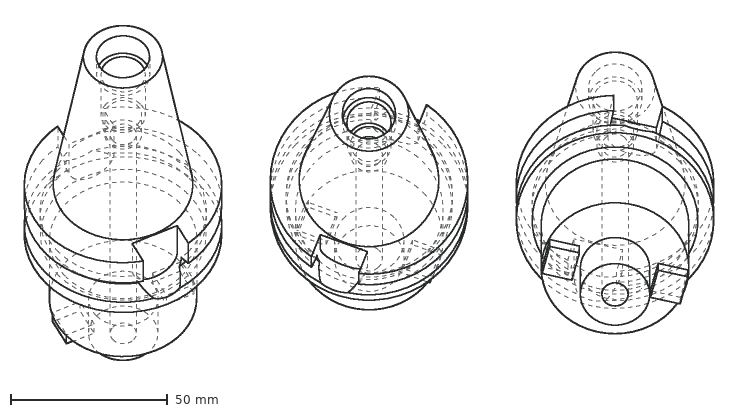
import cadquery as cq

total_height = 143.4
body_bottom = 18.0
body_top = 48.3
flange_bottom = 51.2
lower_rim_top = 56.5
groove_bottom = 59.7
groove_top = 63.7
upper_rim_bottom = 66.5
flange_top = 77.0
gauge_plane = 78.0

spigot_radius = 11.0
body_radius = 23.5
neck_radius = 26.4
flange_diameter = 63.0
flange_radius = flange_diameter / 2
groove_radius = 26.5
taper_large_radius = 22.2
taper_small_radius = 12.6

mouth_radius = 8.5
mouth_depth = 9.0
thread_radius = 7.0
thread_depth = 30.1
relief_radius = 5.9
relief_depth = 40.2
through_radius = 4.2

slot_width = 16.0
slot_floor = 22.5
slot_overrun = 1.5
slot_bottom = 55.0

key_width = 10.0
key_inner = 12.9
key_outer = 22.7
key_height = 4.7


def turned_body():
    """Taper, grooved flange, body and spigot as one revolved solid."""
    outline = [
        (0, 0),
        (spigot_radius, 0),
        (spigot_radius, body_bottom),
        (body_radius, body_bottom),
        (body_radius, body_top),
        (neck_radius, flange_bottom),
        (flange_radius, flange_bottom),
        (flange_radius, lower_rim_top),
        (groove_radius, groove_bottom),
        (groove_radius, groove_top),
        (flange_radius, upper_rim_bottom),
        (flange_radius, flange_top),
        (taper_large_radius, flange_top),
        (taper_large_radius, gauge_plane),
        (taper_small_radius, total_height),
        (0, total_height),
    ]
    return cq.Workplane("XZ").polyline(outline).close().revolve(360, (0, 0), (0, 1))


def bore(radius, depth):
    """Cylinder sunk from the small end of the taper."""
    return cq.Workplane("XY").workplane(offset=total_height - depth).circle(radius).extrude(depth)


def drive_slot(side):
    """Round-bottomed slot cutter outside the slot floor; side is -1 or +1."""
    slot_radius = slot_width / 2
    arc_height = slot_bottom + slot_radius
    return (
        cq.Workplane("YZ")
        .workplane(offset=side * slot_floor)
        .moveTo(-slot_radius, flange_top)
        .lineTo(-slot_radius, arc_height)
        .threePointArc((0, slot_bottom), (slot_radius, arc_height))
        .lineTo(slot_radius, flange_top)
        .close()
        .extrude(side * (flange_radius - slot_floor + slot_overrun))
    )


def drive_key(side):
    """Block hanging from the body's end face; side is -1 or +1."""
    return (
        cq.Workplane("XY")
        .workplane(offset=body_bottom)
        .center(0, side * (key_inner + key_outer) / 2)
        .rect(key_width, key_outer - key_inner)
        .extrude(-key_height)
    )


result = turned_body()

for side in (-1, 1):
    result = result.cut(drive_slot(side)).union(drive_key(side))

for radius, depth in (
    (mouth_radius, mouth_depth),
    (thread_radius, thread_depth),
    (relief_radius, relief_depth),
    (through_radius, total_height),
):
    result = result.cut(bore(radius, depth))